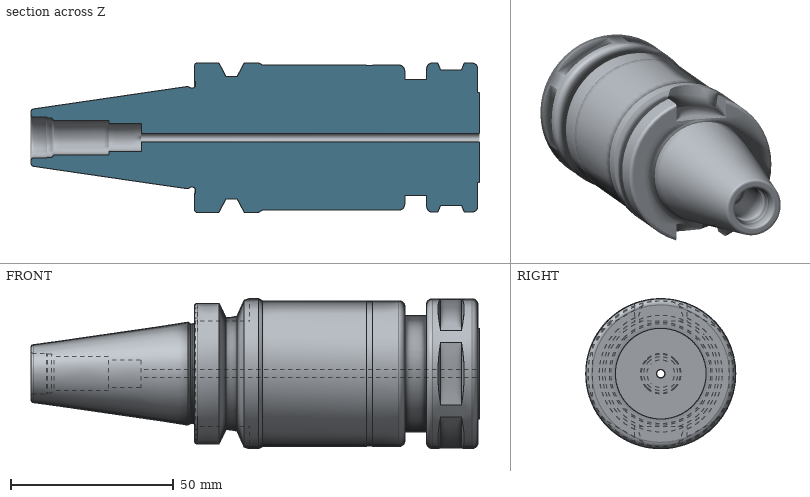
import cadquery as cq
import math

total_length = 138.4

taper_ratio = 7 / 24
gauge_diameter = 31.75
taper_length = 48.4
taper_tip_fillet = 0.9
relief_diameter = 30.8
relief_chamfer = 0.8
relief_fillet = 0.8

flange_diameter = 46.3
flange_face_x = taper_length + 2.0
flange_fillet = 1.0
face_recess_diameter = 34.4
face_recess_depth = 0.3
groove_diameter = 38.0
groove_center_x = 61.9
groove_bottom_width = 3.4
groove_top_width = 7.8
flange_end_x = 71.4
flange_end_chamfer_length = 1.2

body_diameter = 45.0
body_end_x = 115.4
body_fillet = 2.0
ring_diameter = 44.8
ring_start_x = 103.5
ring_width = 1.9
neck_diameter = 36.0

nut_diameter = 46.2
nut_start_x = 122.0
nut_fillet = 1.9
nose_diameter = 28.0
nose_length = 0.5
nut_end_x = total_length - nose_length

pocket_count = 6
pocket_floor_radius = 21.0
pocket_floor_start_x = 126.4
pocket_floor_length = 6.4
pocket_wall_angle = 22.0
pocket_cutter_clearance = 1.0

keyway_width = 16.1
keyway_end_x = 67.4
keyway_floor_radius = 16.3

mouth_fillet = 0.75
pilot_diameter = 12.5
pilot_depth = 4.8
lead_diameter = 12.0
lead_depth = 6.4
thread_diameter = 10.5
thread_depth = 24.0
drill_diameter = 8.5
drill_depth = 34.0
through_diameter = 2.5


def make_body():
    """Revolve the outer profile; sharp edges are rounded afterwards."""
    gauge_radius = gauge_diameter / 2
    tip_radius = gauge_radius - taper_length * taper_ratio / 2
    relief_radius = relief_diameter / 2
    recess_radius = face_recess_diameter / 2
    recess_x = flange_face_x + face_recess_depth
    flange_radius = flange_diameter / 2
    groove_radius = groove_diameter / 2
    body_radius = body_diameter / 2
    ring_radius = ring_diameter / 2
    ring_end_x = ring_start_x + ring_width
    neck_radius = neck_diameter / 2
    nut_radius = nut_diameter / 2
    nose_radius = nose_diameter / 2
    profile = [
        (0, 0),
        (0, tip_radius),
        (taper_length, gauge_radius),
        (taper_length + relief_chamfer, relief_radius),
        (recess_x, relief_radius),
        (recess_x, recess_radius),
        (flange_face_x, recess_radius),
        (flange_face_x, flange_radius),
        (groove_center_x - groove_top_width / 2, flange_radius),
        (groove_center_x - groove_bottom_width / 2, groove_radius),
        (groove_center_x + groove_bottom_width / 2, groove_radius),
        (groove_center_x + groove_top_width / 2, flange_radius),
        (flange_end_x - flange_end_chamfer_length, flange_radius),
        (flange_end_x, body_radius),
        (ring_start_x, body_radius),
        (ring_start_x, ring_radius),
        (ring_end_x, ring_radius),
        (ring_end_x, body_radius),
        (body_end_x, body_radius),
        (body_end_x, neck_radius),
        (nut_start_x, neck_radius),
        (nut_start_x, nut_radius),
        (nut_end_x, nut_radius),
        (nut_end_x, nose_radius),
        (total_length, nose_radius),
        (total_length, 0),
    ]
    body = cq.Workplane("XY").polyline(profile).close().revolve(360, (0, 0, 0), (1, 0, 0))
    rounded_edges = [
        (flange_face_x + face_recess_depth, relief_radius, relief_fillet),
        (0, tip_radius, taper_tip_fillet),
        (flange_face_x, flange_radius, flange_fillet),
        (body_end_x, body_radius, body_fillet),
        (nut_start_x, nut_radius, nut_fillet),
        (nut_end_x, nut_radius, nut_fillet),
    ]
    for x, radius, fillet in rounded_edges:
        body = body.edges(circle_at(x, radius)).fillet(fillet)
    return body


def circle_at(x, radius):
    """Select the circular edge of the given radius lying in the plane at x."""
    tolerance = 0.01
    reach = radius + tolerance
    outer = cq.selectors.BoxSelector(
        (x - tolerance, -reach, -reach), (x + tolerance, reach, reach), boundingbox=True
    )
    core = radius - tolerance
    inner = cq.selectors.BoxSelector(
        (x - tolerance, -core, -core), (x + tolerance, core, core), boundingbox=True
    )
    return outer - inner


def make_bore():
    """Stepped bore: rounded mouth, pilot, short lead, thread, drilled end and a through hole."""
    pilot_radius = pilot_diameter / 2
    lead_radius = lead_diameter / 2
    thread_radius = thread_diameter / 2
    drill_radius = drill_diameter / 2
    through_radius = through_diameter / 2
    mouth_radius = pilot_radius + mouth_fillet
    arc_offset = mouth_fillet * (1 - math.sin(math.radians(45)))
    return (
        cq.Workplane("XY")
        .lineTo(0, mouth_radius)
        .threePointArc((arc_offset, pilot_radius + arc_offset), (mouth_fillet, pilot_radius))
        .lineTo(pilot_depth, pilot_radius)
        .lineTo(pilot_depth + pilot_radius - lead_radius, lead_radius)
        .lineTo(lead_depth, lead_radius)
        .lineTo(lead_depth + lead_radius - thread_radius, thread_radius)
        .lineTo(thread_depth, thread_radius)
        .lineTo(thread_depth, drill_radius)
        .lineTo(drill_depth, drill_radius)
        .lineTo(drill_depth, through_radius)
        .lineTo(total_length, through_radius)
        .lineTo(total_length, 0)
        .close()
        .revolve(360, (0, 0, 0), (1, 0, 0))
    )


def make_keyway():
    """Round-ended slot cutter above the keyway floor on the +Z side."""
    end_radius = keyway_width / 2
    arc_center_x = keyway_end_x - end_radius
    return (
        cq.Workplane("XY", origin=(0, 0, keyway_floor_radius))
        .moveTo(taper_length, -end_radius)
        .lineTo(arc_center_x, -end_radius)
        .threePointArc((keyway_end_x, 0), (arc_center_x, end_radius))
        .lineTo(taper_length, end_radius)
        .close()
        .extrude(flange_diameter / 2)
    )


def make_wrench_pocket():
    """Flat-bottomed pocket with sloping end walls, facing +Y."""
    height = nut_diameter / 2 - pocket_floor_radius + pocket_cutter_clearance
    flare = height * math.tan(math.radians(pocket_wall_angle))
    floor_end_x = pocket_floor_start_x + pocket_floor_length
    top = pocket_floor_radius + height
    return (
        cq.Workplane("XY")
        .polyline(
            [
                (pocket_floor_start_x, pocket_floor_radius),
                (floor_end_x, pocket_floor_radius),
                (floor_end_x + flare, top),
                (pocket_floor_start_x - flare, top),
            ]
        )
        .close()
        .extrude(nut_diameter / 2, both=True)
    )


def about_axis(shape, angle):
    """Turn a shape about the tool axis."""
    return shape.rotate((0, 0, 0), (1, 0, 0), angle)


result = make_body().cut(make_bore())

for keyway_angle in (0, 180):
    result = result.cut(about_axis(make_keyway(), keyway_angle))

for pocket_index in range(pocket_count):
    result = result.cut(about_axis(make_wrench_pocket(), pocket_index * 360 / pocket_count))